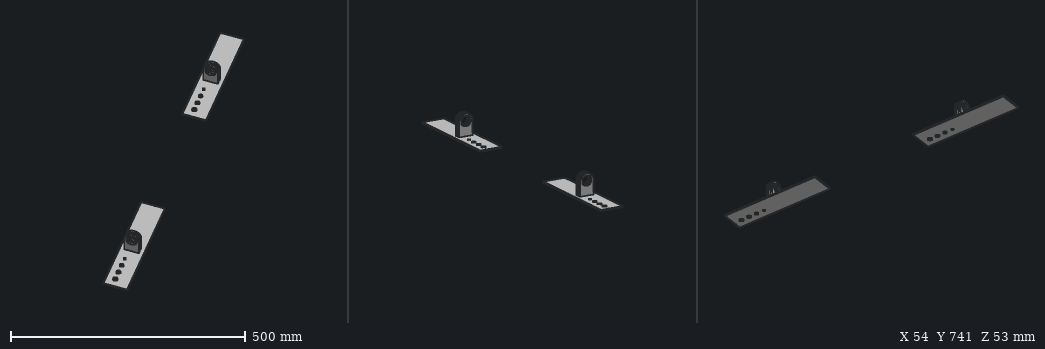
import cadquery as cq

OVERALL_LENGTH = 741.0
PLATE_LENGTH = 240.0
PLATE_WIDTH = 54.0
PLATE_THICKNESS = 3.0

BRACKET_SPACING = OVERALL_LENGTH - PLATE_LENGTH

TOTAL_HEIGHT = 53.0
LUG_WIDTH = 33.0
LUG_THICKNESS = 5.0
LUG_GAP = LUG_THICKNESS
LUG_BORE_DIAMETER = 23.0
LUG_FRONT_OFFSET = 104.0
LUG_RADIUS = LUG_WIDTH / 2
BORE_HEIGHT = TOTAL_HEIGHT - LUG_RADIUS

HOLE_DIAMETERS = [10.0, 9.0, 8.0, 5.0]
HOLE_PITCH = 20.0
HOLE_END_DISTANCE = 20.0
HOLE_ROW_X = -7.0


def make_plate():
    """Flat plate centred on X, with its front end at Y = 0 and its underside at Z = 0."""
    plate = cq.Workplane("XY").box(
        PLATE_WIDTH, PLATE_LENGTH, PLATE_THICKNESS, centered=(True, False, False)
    )
    for index, diameter in enumerate(HOLE_DIAMETERS):
        hole_y = HOLE_END_DISTANCE + index * HOLE_PITCH
        drill = cq.Workplane("XY").center(HOLE_ROW_X, hole_y).circle(diameter / 2).extrude(PLATE_THICKNESS)
        plate = plate.cut(drill)
    return plate


def make_lug(front_y):
    """Upright lug with a rounded top and a concentric bore, rising from the plate underside."""
    return (
        cq.Workplane("XZ", origin=(0, front_y, 0))
        .moveTo(-LUG_RADIUS, 0)
        .lineTo(LUG_RADIUS, 0)
        .lineTo(LUG_RADIUS, BORE_HEIGHT)
        .threePointArc((0, TOTAL_HEIGHT), (-LUG_RADIUS, BORE_HEIGHT))
        .close()
        .moveTo(0, BORE_HEIGHT)
        .circle(LUG_BORE_DIAMETER / 2)
        .extrude(-LUG_THICKNESS)
    )


def make_bracket(front_y):
    """One bracket: a plate and its two lugs as a single solid, moved to its place along Y."""
    bracket = make_plate()
    for index in range(2):
        lug_y = LUG_FRONT_OFFSET + index * (LUG_THICKNESS + LUG_GAP)
        bracket = bracket.union(make_lug(lug_y))
    return bracket.translate((0, front_y, 0))


brackets = []
for bracket_index in range(2):
    bracket_y = bracket_index * BRACKET_SPACING - OVERALL_LENGTH / 2
    brackets.append(make_bracket(bracket_y).val())

result = cq.Compound.makeCompound(brackets)